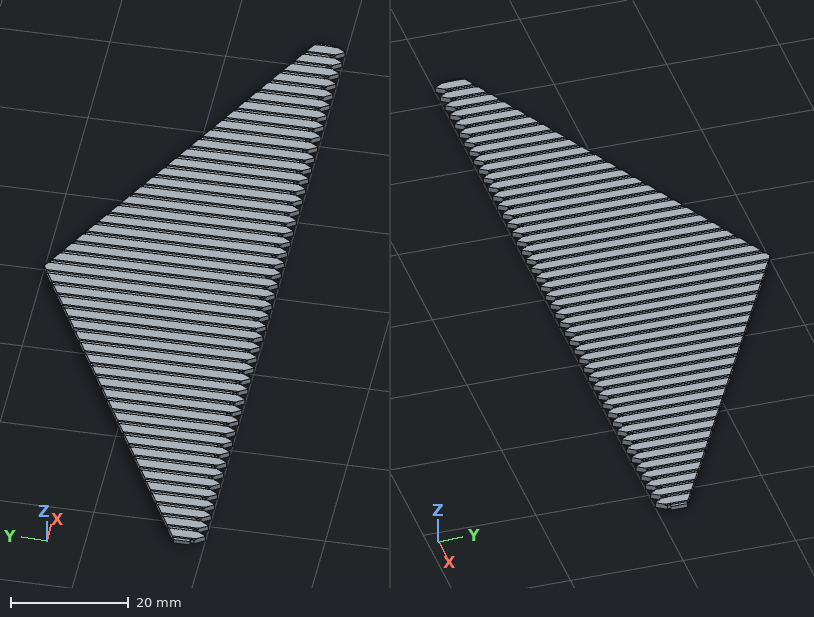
import cadquery as cq
import math

length = 130.6
depth = 40.0
thickness = 1.02
half_length = length / 2
end_top = 5.2

sheet_thickness = 0.8

ribs_per_side = 23
rib_top_width = 2.0
rib_foot_width = 2.1
end_ledge = 0.57
rib_pitch = (length - 2 * end_ledge - rib_foot_width) / (2 * ribs_per_side)

tip_radius = 0.1
tip_half_angle = math.radians(32.3)

relief_radius = 0.33

flank_apex_y = tip_radius * (1 - 1 / math.sin(tip_half_angle))
root_offset = rib_pitch / 2
root_y = flank_apex_y + root_offset / math.tan(tip_half_angle)

rib_centers = [index * rib_pitch for index in range(-ribs_per_side, ribs_per_side + 1)]
root_centers = [rib_centers[0] - root_offset] + [center + root_offset for center in rib_centers]


def gable_plate():
    """Full-height plate with a front edge through the roots, short ends and a central peak."""
    outline = [
        (-half_length, root_y),
        (half_length, root_y),
        (half_length, end_top),
        (0, depth),
        (-half_length, end_top),
    ]
    return cq.Workplane("XY").polyline(outline).close().extrude(thickness)


def tooth(center):
    """Full-height triangular tooth with a rounded tip, reaching back to the roots."""
    tangent_x = tip_radius * math.cos(tip_half_angle)
    tangent_y = tip_radius * (1 - math.sin(tip_half_angle))
    return (
        cq.Workplane("XY")
        .moveTo(center - root_offset, root_y)
        .lineTo(center - tangent_x, tangent_y)
        .threePointArc((center, 0), (center + tangent_x, tangent_y))
        .lineTo(center + root_offset, root_y)
        .close()
        .extrude(thickness)
    )


def groove(center):
    """Cutter for the space above the sheet between two ribs, wider at the top."""
    half_foot = (rib_pitch - rib_foot_width) / 2
    half_top = (rib_pitch - rib_top_width) / 2
    section = [
        (center - half_foot, sheet_thickness),
        (center + half_foot, sheet_thickness),
        (center + half_top, thickness),
        (center - half_top, thickness),
    ]
    return cq.Workplane("XZ").polyline(section).close().extrude(-depth)


def group(bodies):
    """Gather separate bodies so that they can be joined or cut in one step."""
    return cq.Workplane(cq.Compound.makeCompound([body.val() for body in bodies]))


toothed_plate = gable_plate().union(group([tooth(center) for center in rib_centers]))
ribbed_plate = toothed_plate.cut(group([groove(center) for center in root_centers]))

reliefs = (
    cq.Workplane("XY")
    .pushPoints([(center, root_y) for center in root_centers])
    .circle(relief_radius)
    .extrude(sheet_thickness)
)
result = ribbed_plate.cut(reliefs)